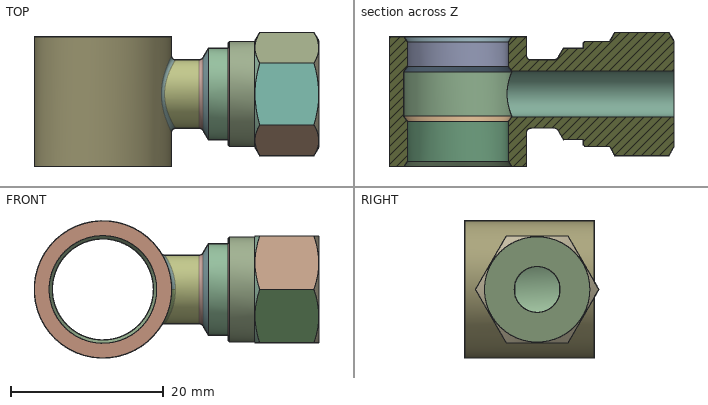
import cadquery as cq
import math

ring_outer_radius = 9.0
ring_bore_radius = 6.6
ring_front_y = -9.5
ring_length = 17.0
bore_chamfer = 0.45
bore_chamfer_length = 0.7

groove_radius = 7.1
groove_mouth_width = 7.2
groove_flank_length = 0.7

stem_radius = 4.5
barrel_radius = 6.0
barrel_start_x = 13.8
cone_angle = 60.0
stem_fillet = 0.6
ring_fillet = 0.5
branch_hole_radius = 3.0

collar_radius = 6.9
collar_start_x = 16.4
collar_chamfer = 0.2
hex_start_x = 19.85
hex_across_flats = 14.0
nut_end_x = 28.32
hex_chamfer_radius = 6.9
hex_chamfer_angle = 30.0


def cylinder_x(radius, start_x, end_x):
    return cq.Workplane("YZ").workplane(offset=start_x).circle(radius).extrude(end_x - start_x)


def cylinder_y(radius, start_y, length):
    return cq.Workplane("XZ").workplane(offset=-start_y).circle(radius).extrude(-length)


def make_ring_and_stem():
    ring = cylinder_y(ring_outer_radius, ring_front_y, ring_length)
    stem = cylinder_x(stem_radius, 0, barrel_start_x)
    joined = ring.union(stem)
    reach = stem_radius + ring_fillet
    joint_box = cq.selectors.BoxSelector(
        (0, -reach, -reach),
        (ring_outer_radius + ring_fillet, reach, reach),
    )
    return joined.edges(joint_box).fillet(ring_fillet)


def make_barrel():
    slope = math.radians(cone_angle)
    cone_start_x = barrel_start_x - (barrel_radius - stem_radius) / math.tan(slope)
    tangent_length = stem_fillet * math.tan(slope / 2)
    fillet_start_x = cone_start_x - tangent_length
    fillet_middle = (
        fillet_start_x + stem_fillet * math.sin(slope / 2),
        stem_radius + stem_fillet * (1 - math.cos(slope / 2)),
    )
    fillet_end = (
        cone_start_x + tangent_length * math.cos(slope),
        stem_radius + tangent_length * math.sin(slope),
    )
    profile = (
        cq.Workplane("XY")
        .moveTo(fillet_start_x, 0)
        .lineTo(fillet_start_x, stem_radius)
        .threePointArc(fillet_middle, fillet_end)
        .lineTo(barrel_start_x, barrel_radius)
        .lineTo(collar_start_x, barrel_radius)
        .lineTo(collar_start_x, 0)
        .close()
    )
    return profile.revolve(360, (0, 0, 0), (1, 0, 0))


def make_collar():
    return cylinder_x(collar_radius, collar_start_x, hex_start_x).faces("<X").chamfer(collar_chamfer)


def make_hexagon():
    corner_radius = hex_across_flats / math.sqrt(3)
    chamfer_height = corner_radius - hex_chamfer_radius
    chamfer_length = chamfer_height * math.tan(math.radians(hex_chamfer_angle))
    prism = (
        cq.Workplane("YZ")
        .workplane(offset=hex_start_x)
        .polygon(6, 2 * corner_radius)
        .extrude(nut_end_x - hex_start_x)
    )
    envelope = (
        cylinder_x(corner_radius, hex_start_x, nut_end_x)
        .faces("<X or >X")
        .chamfer(chamfer_length, chamfer_height)
    )
    return prism.intersect(envelope)


def make_ring_bore():
    front_y = ring_front_y
    back_y = ring_front_y + ring_length
    mouth_radius = ring_bore_radius + bore_chamfer
    half_mouth = groove_mouth_width / 2
    half_floor = half_mouth - groove_flank_length
    profile = (
        cq.Workplane("XY")
        .moveTo(0, front_y)
        .lineTo(mouth_radius, front_y)
        .lineTo(ring_bore_radius, front_y + bore_chamfer_length)
        .lineTo(ring_bore_radius, -half_mouth)
        .lineTo(groove_radius, -half_floor)
        .lineTo(groove_radius, half_floor)
        .lineTo(ring_bore_radius, half_mouth)
        .lineTo(ring_bore_radius, back_y - bore_chamfer_length)
        .lineTo(mouth_radius, back_y)
        .lineTo(0, back_y)
        .close()
    )
    return profile.revolve(360, (0, 0, 0), (0, 1, 0))


body = make_ring_and_stem().union(make_barrel()).union(make_collar()).union(make_hexagon())
branch_hole = cylinder_x(branch_hole_radius, 0, nut_end_x)
result = body.cut(make_ring_bore()).cut(branch_hole)